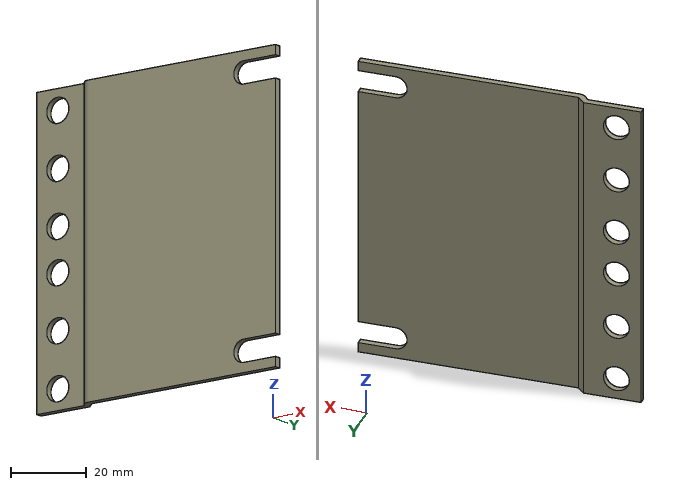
import cadquery as cq
import math

width = 79.4
height = 88.1
depth = 4.1
thickness = 1.9

bend_start = 15.1
inner_radius = 1.0
outer_radius = 3.0
offset = depth - thickness
bend_angle = math.acos(1 - offset / (inner_radius + outer_radius))
bend_end = bend_start + (inner_radius + outer_radius) * math.sin(bend_angle)

slope_start = 15.95
slope_end = slope_start + offset

hole_diameter = 7.1
hole_x = 6.9
hole_pitch = 15.9
middle_hole_gap = 12.7
holes_per_half = 3

slot_width = 6.3
slot_depth = 13.6
slot_z = middle_hole_gap / 2 + (holes_per_half - 1) * hole_pitch


def arc_point(center_x, center_y, radius, angle):
    """Point on a bend arc; the angle is measured from +Y toward +X."""
    return center_x + radius * math.sin(angle), center_y + radius * math.cos(angle)


def make_sheet():
    """Extrude the stepped sheet profile over the full height."""
    flange_center = (bend_start, offset - inner_radius)
    panel_center = (bend_end, outer_radius)

    flange_mid = arc_point(*flange_center, inner_radius, bend_angle / 2)
    bend_meeting = arc_point(*flange_center, inner_radius, bend_angle)
    panel_mid = arc_point(*panel_center, outer_radius, math.pi + bend_angle / 2)

    return (
        cq.Workplane("XY")
        .workplane(offset=-height / 2)
        .moveTo(0, offset)
        .lineTo(bend_start, offset)
        .threePointArc(flange_mid, bend_meeting)
        .threePointArc(panel_mid, (bend_end, 0))
        .lineTo(width, 0)
        .lineTo(width, thickness)
        .lineTo(slope_end, thickness)
        .lineTo(slope_start, depth)
        .lineTo(0, depth)
        .close()
        .extrude(height)
    )


def make_holes():
    """Cutters for the flange holes, mirrored about mid-height."""
    upper = [middle_hole_gap / 2 + i * hole_pitch for i in range(holes_per_half)]
    centers = [(hole_x, side * z) for side in (-1, 1) for z in upper]
    return cq.Workplane("XZ").pushPoints(centers).circle(hole_diameter / 2).extrude(-depth)


def make_slots():
    """Cutters for the open slots; half of each slot lies beyond the free edge."""
    centers = [(width, side * slot_z) for side in (-1, 1)]
    return cq.Workplane("XZ").pushPoints(centers).slot2D(2 * slot_depth, slot_width).extrude(-depth)


result = make_sheet().cut(make_holes()).cut(make_slots())